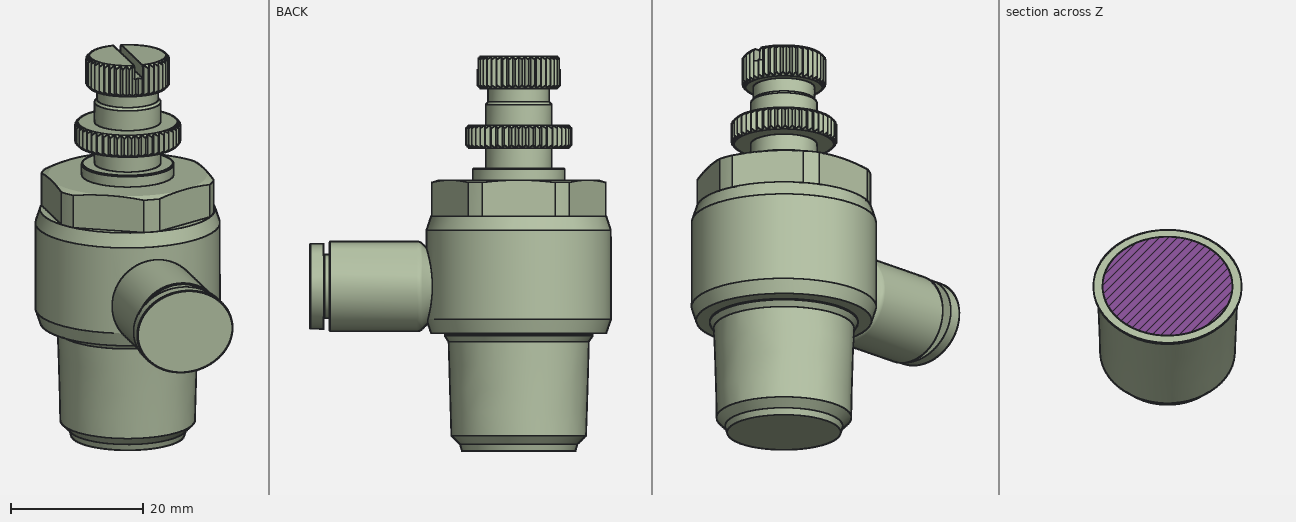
import cadquery as cq
import math

LEAD_TOP = 1.0
THREAD_BOTTOM = 2.35
THREAD_TOP = 16.55
SHOULDER_BOTTOM = 17.45
SHOULDER_TOP = 17.65
BODY_BOTTOM = 17.8
BODY_TOP = 35.6
BODY_CHAMFER_HEIGHT = 2.15
HEX_TOP = 41.0
COLLAR_TOP = 42.8
NUT_BOTTOM = 45.85
NUT_TOP = 49.35
STEM_TOP = 52.45
STEM_CHAMFER_HEIGHT = 0.4
HEAD_BOTTOM = 54.9
HEAD_TOP = 59.8

LEAD_BOTTOM_RADIUS = 8.6
LEAD_TOP_RADIUS = 8.9
THREAD_BOTTOM_RADIUS = 10.2
THREAD_TOP_RADIUS = 10.65
SHOULDER_RADIUS = 11.25
GROOVE_RADIUS = 9.85
BODY_RADIUS = 14.0
BODY_RIM_RADIUS = 13.3
HEX_FLAT_RADIUS = 12.0
HEX_CORNER_RADIUS = 13.2
HEX_CHAMFER_HEIGHT = 0.35
COLLAR_RADIUS = 7.0
COLLAR_CHAMFER = 0.2
STEM_RADIUS = 5.0
STEM_NECK_RADIUS = 4.65

NUT_TIP_RADIUS = 8.0
NUT_ROOT_RADIUS = 7.55
NUT_FACE_RADIUS = 7.55
NUT_TEETH = 46
HEAD_TIP_RADIUS = 6.35
HEAD_ROOT_RADIUS = 5.85
HEAD_FACE_RADIUS = 5.8
HEAD_TEETH = 40
SLOT_WIDTH = 1.25
SLOT_DEPTH = 2.05

PORT_Z = 24.95
PORT_RADIUS = 6.8
PORT_CONE_ANGLE = math.radians(45)
PORT_CONE_END = 14.95
PORT_CONE_ROUND = 1.0
PORT_END = 28.7
PORT_END_CHAMFER = 0.2
PORT_NECK_RADIUS = 4.85
PORT_NECK_CHAMFER = 0.2
FLANGE_START = 29.55
FLANGE_END = 31.65
FLANGE_HALF_WIDTH = 7.55
FLANGE_HALF_HEIGHT = 6.45
FLANGE_CHAMFER = 0.1


def revolve_about_z(profile):
    """Solid of revolution from a closed (radius, height) profile."""
    return cq.Workplane("XZ").polyline(profile).close().revolve(360, (0, 0), (0, 1))


def make_turned_body():
    """Tapered threaded end, shoulder, groove and main barrel as one revolved profile."""
    profile = [
        (0, 0),
        (LEAD_BOTTOM_RADIUS, 0),
        (LEAD_TOP_RADIUS, LEAD_TOP),
        (THREAD_BOTTOM_RADIUS, THREAD_BOTTOM),
        (THREAD_TOP_RADIUS, THREAD_TOP),
        (SHOULDER_RADIUS, SHOULDER_BOTTOM),
        (SHOULDER_RADIUS, SHOULDER_TOP),
        (GROOVE_RADIUS, SHOULDER_TOP),
        (GROOVE_RADIUS, BODY_BOTTOM),
        (BODY_RIM_RADIUS, BODY_BOTTOM),
        (BODY_RADIUS, BODY_BOTTOM + BODY_CHAMFER_HEIGHT),
        (BODY_RADIUS, BODY_TOP - BODY_CHAMFER_HEIGHT),
        (BODY_RIM_RADIUS, BODY_TOP),
        (0, BODY_TOP),
    ]
    return revolve_about_z(profile)


def make_hex():
    """Hexagon with flats facing +Y and -Y, turned corners and a chamfered top."""
    across_corners = 2 * HEX_FLAT_RADIUS / math.cos(math.pi / 6)
    prism = (
        cq.Workplane("XY", origin=(0, 0, BODY_TOP))
        .polygon(6, across_corners)
        .extrude(HEX_TOP - BODY_TOP)
    )
    turned_blank = revolve_about_z([
        (0, BODY_TOP),
        (HEX_CORNER_RADIUS, BODY_TOP),
        (HEX_CORNER_RADIUS, HEX_TOP - HEX_CHAMFER_HEIGHT),
        (HEX_FLAT_RADIUS, HEX_TOP),
        (0, HEX_TOP),
    ])
    return prism.intersect(turned_blank)


def make_stem():
    """Collar on the hexagon, the stem and its reduced neck below the head."""
    return revolve_about_z([
        (0, HEX_TOP),
        (COLLAR_RADIUS, HEX_TOP),
        (COLLAR_RADIUS, COLLAR_TOP - COLLAR_CHAMFER),
        (COLLAR_RADIUS - COLLAR_CHAMFER, COLLAR_TOP),
        (STEM_RADIUS, COLLAR_TOP),
        (STEM_RADIUS, STEM_TOP),
        (STEM_NECK_RADIUS, STEM_TOP + STEM_CHAMFER_HEIGHT),
        (STEM_NECK_RADIUS, HEAD_BOTTOM),
        (0, HEAD_BOTTOM),
    ])


def make_knurled_disc(bottom, top, tip_radius, root_radius, face_radius, teeth):
    """Disc with straight V-shaped teeth, chamfered to the face radius at both ends.

    A tooth root lies on the +X axis.
    """
    half_pitch = math.pi / teeth
    outline = []
    for i in range(2 * teeth):
        radius = root_radius if i % 2 == 0 else tip_radius
        angle = i * half_pitch
        outline.append((radius * math.cos(angle), radius * math.sin(angle)))
    toothed = cq.Workplane("XY", origin=(0, 0, bottom)).polyline(outline).close().extrude(top - bottom)
    chamfer = tip_radius - face_radius
    blank = revolve_about_z([
        (0, bottom),
        (face_radius, bottom),
        (tip_radius, bottom + chamfer),
        (tip_radius, top - chamfer),
        (face_radius, top),
        (0, top),
    ])
    return toothed.intersect(blank)


def make_nut():
    """Knurled lock nut on the stem."""
    return make_knurled_disc(
        NUT_BOTTOM, NUT_TOP, NUT_TIP_RADIUS, NUT_ROOT_RADIUS, NUT_FACE_RADIUS, NUT_TEETH
    )


def make_head():
    """Adjusting head with a screwdriver slot along X."""
    head = make_knurled_disc(
        HEAD_BOTTOM, HEAD_TOP, HEAD_TIP_RADIUS, HEAD_ROOT_RADIUS, HEAD_FACE_RADIUS, HEAD_TEETH
    )
    slot = (
        cq.Workplane("XY", origin=(0, 0, HEAD_TOP - SLOT_DEPTH))
        .rect(2 * HEAD_TIP_RADIUS, SLOT_WIDTH)
        .extrude(SLOT_DEPTH)
    )
    return head.cut(slot)


def make_port():
    """Side port: cone out of the barrel, blended into the port cylinder, then the neck."""
    cone_tip = PORT_CONE_END - PORT_RADIUS / math.tan(PORT_CONE_ANGLE)
    half_turn = PORT_CONE_ANGLE / 2
    tangent_length = PORT_CONE_ROUND * math.tan(half_turn)
    round_start = (
        PORT_CONE_END - tangent_length * math.cos(PORT_CONE_ANGLE),
        PORT_RADIUS - tangent_length * math.sin(PORT_CONE_ANGLE),
    )
    round_end = (PORT_CONE_END + tangent_length, PORT_RADIUS)
    round_middle = (
        round_end[0] - PORT_CONE_ROUND * math.sin(half_turn),
        PORT_RADIUS - PORT_CONE_ROUND * (1 - math.cos(half_turn)),
    )
    profile = (
        cq.Workplane("XY", origin=(0, 0, PORT_Z))
        .moveTo(cone_tip, 0)
        .lineTo(*round_start)
        .threePointArc(round_middle, round_end)
        .lineTo(PORT_END - PORT_END_CHAMFER, PORT_RADIUS)
        .lineTo(PORT_END, PORT_RADIUS - PORT_END_CHAMFER)
        .lineTo(PORT_END, PORT_NECK_RADIUS)
        .lineTo(FLANGE_START - PORT_NECK_CHAMFER, PORT_NECK_RADIUS)
        .lineTo(FLANGE_START, PORT_NECK_RADIUS - PORT_NECK_CHAMFER)
        .lineTo(FLANGE_START, 0)
        .close()
    )
    return profile.revolve(360, (0, 0), (1, 0))


def make_release_flange():
    """Oval release flange at the end of the port, wider along Y than along Z."""
    return (
        cq.Workplane("YZ", origin=(FLANGE_START, 0, PORT_Z))
        .ellipse(FLANGE_HALF_WIDTH, FLANGE_HALF_HEIGHT)
        .extrude(FLANGE_END - FLANGE_START)
        .faces(">X")
        .chamfer(FLANGE_CHAMFER)
    )


result = (
    make_turned_body()
    .union(make_hex())
    .union(make_stem())
    .union(make_nut())
    .union(make_head())
    .union(make_port())
    .union(make_release_flange())
)